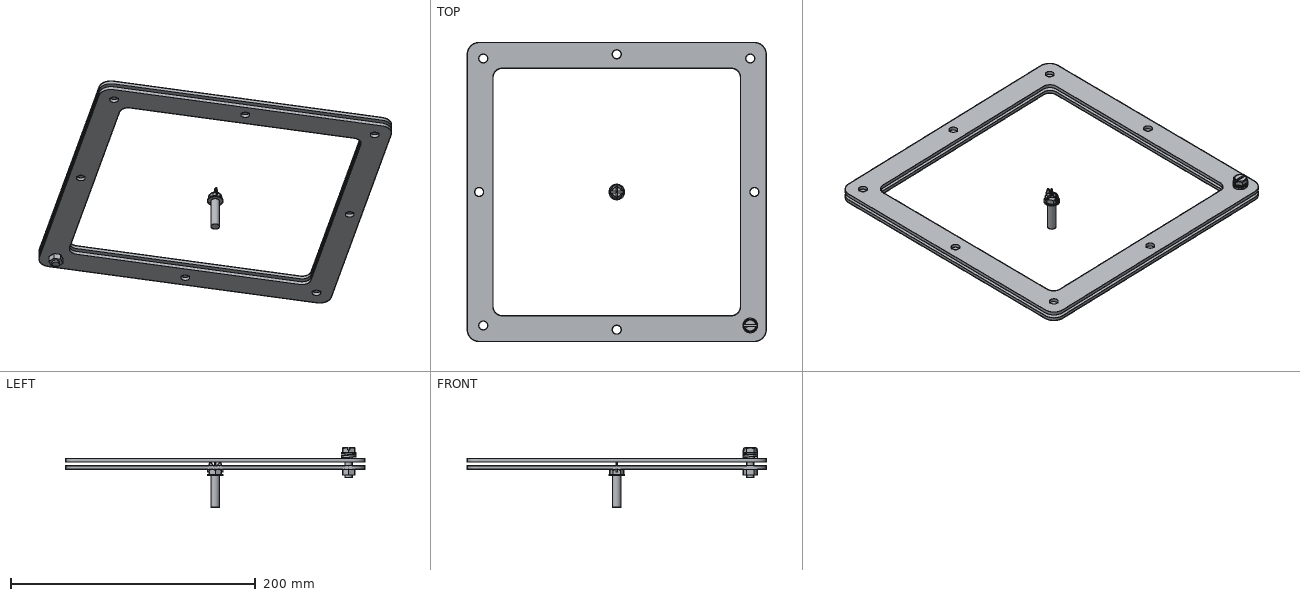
import cadquery as cq
import math

PLATE_SIDE = 244.5
WINDOW_SIDE = 202.0
PLATE_THICKNESS = 3.0
PLATE_GAP = 3.0
PLATE_CORNER_RADIUS = 10.0
WINDOW_CORNER_RADIUS = 7.3
PLATE_HOLE_DIAMETER = 7.0
CORNER_HOLE_OFFSET = 109.0
MID_HOLE_OFFSET = 112.5
STACK_TOP = 2 * PLATE_THICKNESS + PLATE_GAP

SCREW_X = CORNER_HOLE_OFFSET
SCREW_Y = -CORNER_HOLE_OFFSET
SCREW_DIAMETER = 6.0
HEX_FLATS = 10.0
HEX_CORNERS = HEX_FLATS / math.cos(math.pi / 6)
WASHER_DIAMETER = 12.0
WASHER_BORE = 6.4
WASHER_THICKNESS = 1.2
SPRING_DIAMETER = 12.0
SPRING_BORE = 6.5
SPRING_THICKNESS = 1.7
SPRING_PITCH = 2.0
HEAD_HEIGHT = 4.0
HEAD_TOP_DIAMETER = 9.0
HEAD_CHAMFER_HEIGHT = 0.7
SLOT_WIDTH = 1.5
SLOT_DEPTH = 1.7
NUT_HEIGHT = 5.0
SCREW_OVERHANG = 2.0
WASHER_BASE = STACK_TOP + SPRING_PITCH + SPRING_THICKNESS
HEAD_BASE = WASHER_BASE + WASHER_THICKNESS
SCREW_BOTTOM = -NUT_HEIGHT - SCREW_OVERHANG

OVERALL_HEIGHT = 48.6
STUD_BOTTOM = HEAD_BASE + HEAD_HEIGHT - OVERALL_HEIGHT
STUD_DIAMETER = 7.0
FLANGE_DIAMETER = 12.7
FLANGE_BASE = -5.1
FLANGE_THICKNESS = 1.0
STUD_HEX_HEIGHT = 5.6
STUD_CROWN_DIAMETER = 7.8
STUD_CROWN_HEIGHT = 2.5
STUD_HEX_BASE = FLANGE_BASE + FLANGE_THICKNESS
BLADE_THICKNESS = 1.0
BLADE_FOOT_HALF_WIDTH = 6.4
BLADE_FOOT_BASE = -2.2
BLADE_FOOT_TOP = -0.5
BLADE_TOP_HALF_WIDTH = 4.6
BLADE_TOP = 5.5
PRONG_WIDTH = 1.2
PRONG_ROOT = 2.0
POST_HALF_WIDTH = 0.5
POST_TOP = 7.3


def cylinder(diameter, z_bottom, z_top):
    return cq.Workplane("XY").workplane(offset=z_bottom).circle(diameter / 2).extrude(z_top - z_bottom)


def hexagon(z_bottom, height):
    return cq.Workplane("XY").workplane(offset=z_bottom).polygon(6, HEX_CORNERS).extrude(height)


def slotted_hex_head(z_bottom, height, top_diameter, crown_height):
    """Hexagon whose corners are turned down to a cone at the top, with a slot along X."""
    top = z_bottom + height
    turned_outline = [
        (0, z_bottom),
        (HEX_CORNERS / 2, z_bottom),
        (HEX_CORNERS / 2, top - crown_height),
        (top_diameter / 2, top),
        (0, top),
    ]
    turned = cq.Workplane("XZ").polyline(turned_outline).close().revolve(360, (0, 0, 0), (0, 1, 0))
    slot = cq.Workplane("XY").box(2 * HEX_CORNERS, SLOT_WIDTH, 2 * SLOT_DEPTH).translate((0, 0, top))
    return hexagon(z_bottom, height).intersect(turned).cut(slot)


def at_screw(body):
    return body.translate((SCREW_X, SCREW_Y, 0))


def frame_plate(z_bottom):
    plate = cq.Workplane("XY").workplane(offset=z_bottom).rect(PLATE_SIDE, PLATE_SIDE)
    plate = plate.extrude(PLATE_THICKNESS).edges("|Z").fillet(PLATE_CORNER_RADIUS)
    window = cq.Workplane("XY").workplane(offset=z_bottom).rect(WINDOW_SIDE, WINDOW_SIDE)
    window = window.extrude(PLATE_THICKNESS).edges("|Z").fillet(WINDOW_CORNER_RADIUS)
    hole_places = []
    for sign in (1, -1):
        hole_places.append((sign * MID_HOLE_OFFSET, 0))
        hole_places.append((0, sign * MID_HOLE_OFFSET))
        hole_places.append((sign * CORNER_HOLE_OFFSET, CORNER_HOLE_OFFSET))
        hole_places.append((sign * CORNER_HOLE_OFFSET, -CORNER_HOLE_OFFSET))
    holes = cq.Workplane("XY").workplane(offset=z_bottom).pushPoints(hole_places)
    holes = holes.circle(PLATE_HOLE_DIAMETER / 2).extrude(PLATE_THICKNESS)
    return plate.cut(window).cut(holes)


def slotted_screw():
    shank = cylinder(SCREW_DIAMETER, SCREW_BOTTOM, HEAD_BASE)
    head = slotted_hex_head(HEAD_BASE, HEAD_HEIGHT, HEAD_TOP_DIAMETER, HEAD_CHAMFER_HEIGHT)
    return at_screw(shank.union(head))


def flat_washer():
    disc = cylinder(WASHER_DIAMETER, WASHER_BASE, HEAD_BASE)
    return at_screw(disc.cut(cylinder(WASHER_BORE, WASHER_BASE, HEAD_BASE)))


def spring_washer():
    """One helical turn of a rectangular section, with its two ends offset at +X."""
    mean_radius = (SPRING_DIAMETER + SPRING_BORE) / 4
    section_width = (SPRING_DIAMETER - SPRING_BORE) / 2
    path = cq.Workplane(cq.Wire.makeHelix(SPRING_PITCH, SPRING_PITCH, mean_radius))
    section = cq.Workplane("XZ").center(mean_radius, 0).rect(section_width, SPRING_THICKNESS)
    coil = section.sweep(path, isFrenet=True)
    return at_screw(coil.translate((0, 0, STACK_TOP + SPRING_THICKNESS / 2)))


def hex_nut():
    return at_screw(hexagon(-NUT_HEIGHT, NUT_HEIGHT).cut(cylinder(SCREW_DIAMETER, -NUT_HEIGHT, 0)))


def stud_blade():
    """Thin upright blade in the YZ plane, with two prongs beside a centre post."""
    half_outline = [
        (BLADE_FOOT_HALF_WIDTH, BLADE_FOOT_BASE),
        (BLADE_FOOT_HALF_WIDTH, BLADE_FOOT_TOP),
        (BLADE_TOP_HALF_WIDTH, BLADE_TOP),
        (BLADE_TOP_HALF_WIDTH - PRONG_WIDTH, BLADE_TOP),
        (POST_HALF_WIDTH, PRONG_ROOT),
        (POST_HALF_WIDTH, POST_TOP),
    ]
    mirrored = [(-y, z) for y, z in reversed(half_outline)]
    outline = cq.Workplane("YZ").polyline(half_outline + mirrored).close()
    return outline.extrude(BLADE_THICKNESS / 2, both=True)


def centre_stud():
    shank = cylinder(STUD_DIAMETER, STUD_BOTTOM, FLANGE_BASE)
    flange = cylinder(FLANGE_DIAMETER, FLANGE_BASE, STUD_HEX_BASE)
    head = slotted_hex_head(STUD_HEX_BASE, STUD_HEX_HEIGHT, STUD_CROWN_DIAMETER, STUD_CROWN_HEIGHT)
    return shank.union(flange).union(head).union(stud_blade())


plates = [frame_plate(z) for z in (0, PLATE_THICKNESS + PLATE_GAP)]
result = cq.Compound.makeCompound([
    *[plate.val() for plate in plates],
    slotted_screw().val(),
    flat_washer().val(),
    spring_washer().val(),
    hex_nut().val(),
    centre_stud().val(),
])